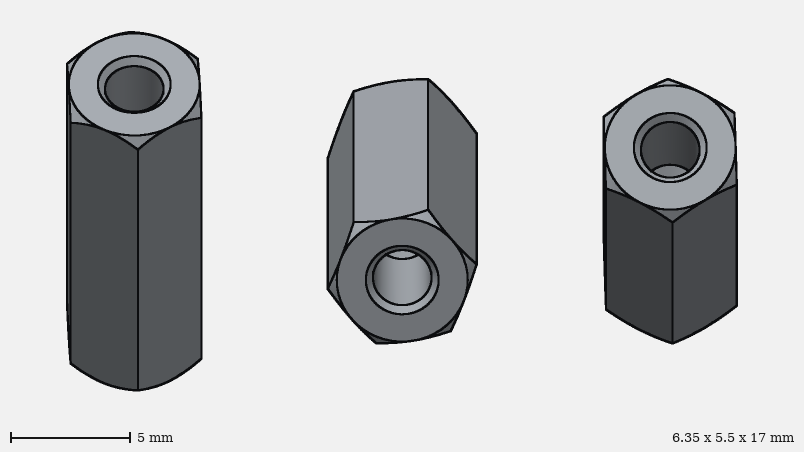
import cadquery as cq
import math

LENGTH = 17.0
ACROSS_FLATS = 5.5
END_CHAMFER_ANGLE = 45.0
BORE_DIAMETER = 2.46
BORE_DEPTH = 6.0
DRILL_POINT_ANGLE = 118.0
COUNTERSINK_DIAMETER = 3.06
COUNTERSINK_ANGLE = 90.0

HEX_SIDES = 6
ACROSS_CORNERS = ACROSS_FLATS / math.cos(math.pi / HEX_SIDES)
CORNER_RADIUS = ACROSS_CORNERS / 2
END_FACE_RADIUS = ACROSS_FLATS / 2
CHAMFER_HEIGHT = (CORNER_RADIUS - END_FACE_RADIUS) * math.tan(math.radians(END_CHAMFER_ANGLE))

BORE_RADIUS = BORE_DIAMETER / 2
POINT_DEPTH = BORE_RADIUS / math.tan(math.radians(DRILL_POINT_ANGLE / 2))
COUNTERSINK_RADIUS = COUNTERSINK_DIAMETER / 2
COUNTERSINK_DEPTH = (COUNTERSINK_RADIUS - BORE_RADIUS) / math.tan(math.radians(COUNTERSINK_ANGLE / 2))


def revolve_about_z(profile):
    """Revolve a closed (radius, height) profile a full turn about the Z axis."""
    return cq.Workplane("XZ").polyline(profile).close().revolve(axisStart=(0, 0, 0), axisEnd=(0, 1, 0))


def hexagonal_body():
    """Hexagonal bar with two corners on the X axis and conically turned ends."""
    bar = cq.Workplane("XY").polygon(HEX_SIDES, ACROSS_CORNERS).extrude(LENGTH)
    turned_envelope = revolve_about_z([
        (0, 0),
        (END_FACE_RADIUS, 0),
        (CORNER_RADIUS, CHAMFER_HEIGHT),
        (CORNER_RADIUS, LENGTH - CHAMFER_HEIGHT),
        (END_FACE_RADIUS, LENGTH),
        (0, LENGTH),
    ])
    return bar.intersect(turned_envelope)


def upper_end_bore():
    """Countersunk blind bore with a drill point, entering the upper end."""
    return revolve_about_z([
        (0, LENGTH),
        (COUNTERSINK_RADIUS, LENGTH),
        (BORE_RADIUS, LENGTH - COUNTERSINK_DEPTH),
        (BORE_RADIUS, LENGTH - BORE_DEPTH),
        (0, LENGTH - BORE_DEPTH - POINT_DEPTH),
    ])


upper_bore = upper_end_bore()
lower_bore = upper_bore.mirror("XY", (0, 0, LENGTH / 2))
result = hexagonal_body().cut(upper_bore).cut(lower_bore)